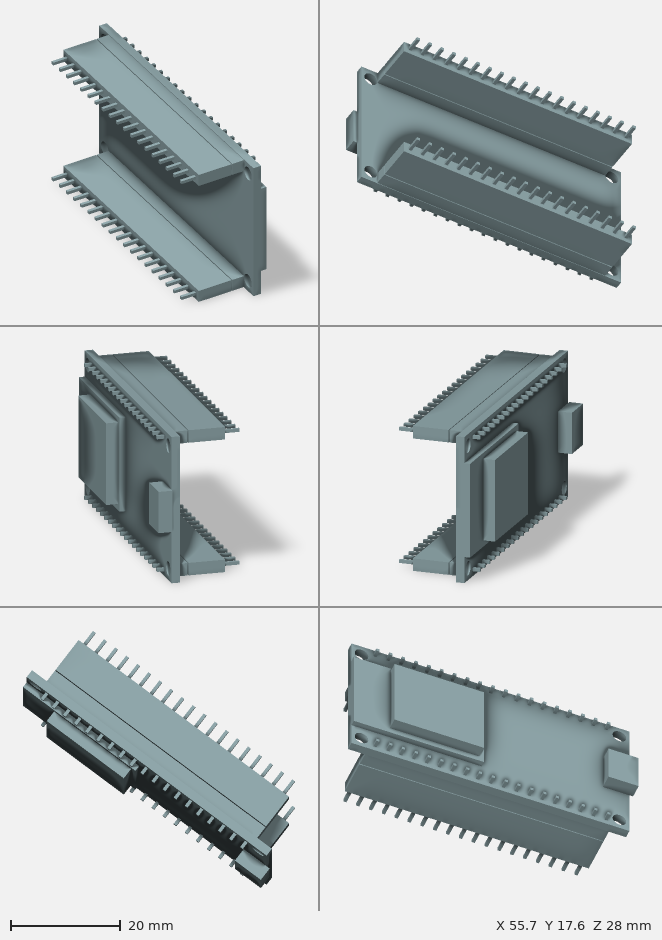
import cadquery as cq


board_length = 55.0
board_height = 28.0
board_thickness = 1.6
hole_diameter = 2.7
hole_spacing_x = 51.0
hole_spacing_z = 23.5

usb_overhang = 0.7
usb_length = 5.95
usb_width = 7.9
usb_height = 2.7

module_length = 25.8
module_width = 18.0
module_thickness = 1.1
shield_length = 17.65
shield_width = 15.65
shield_height = 2.25
shield_inset = 1.0

pin_count = 19
header_length = 48.25
pin_size = 0.6
pin_back_length = 1.45
pin_front_length = 3.05
row_spacing = 25.4
header_width = 2.4
strip_height = 2.5
header_gap = 0.15
socket_height = 6.95

pin_pitch = header_length / pin_count
board_left = -board_length / 2
board_right = board_length / 2
socket_start = strip_height + header_gap
header_depth = socket_start + socket_height
row_positions = (-row_spacing / 2, row_spacing / 2)


def block(x_min, length, y_min, depth, z_center, height):
    """Box from its left and front faces, centred on z_center."""
    return cq.Workplane("XY").box(length, depth, height, centered=(False, False, True)).translate(
        (x_min, y_min, z_center)
    )


def make_board():
    board = block(board_left, board_length, 0, board_thickness, 0, board_height)
    holes = (
        cq.Workplane("XZ")
        .rect(hole_spacing_x, hole_spacing_z, forConstruction=True)
        .vertices()
        .circle(hole_diameter / 2)
        .extrude(-board_thickness)
    )
    return board.cut(holes)


def make_usb():
    return block(board_left - usb_overhang, usb_length, board_thickness, usb_height, 0, usb_width)


def make_module():
    module_left = board_right - module_length
    carrier = block(module_left, module_length, board_thickness, module_thickness, 0, module_width)
    shield = block(
        module_left + shield_inset,
        shield_length,
        board_thickness + module_thickness,
        shield_height,
        0,
        shield_width,
    )
    return carrier.union(shield)


def make_header(row_z):
    """Strip and socket bodies joined by the pins that run through them and the board."""
    header_left = -header_length / 2
    header = block(header_left, header_length, -strip_height, strip_height, row_z, header_width)
    header = header.union(
        block(header_left, header_length, -header_depth, socket_height, row_z, header_width)
    )
    pin_start = -header_depth - pin_front_length
    pin_length = board_thickness + pin_back_length - pin_start
    pins = (
        cq.Workplane("XZ", origin=(0, pin_start, row_z))
        .rarray(pin_pitch, 0.55, pin_count, 1)
        .rect(pin_size, pin_size)
        .extrude(-pin_length)
    )
    return header.union(pins)


result = make_board().union(make_usb()).union(make_module())
for row_z in row_positions:
    result = result.union(make_header(row_z))